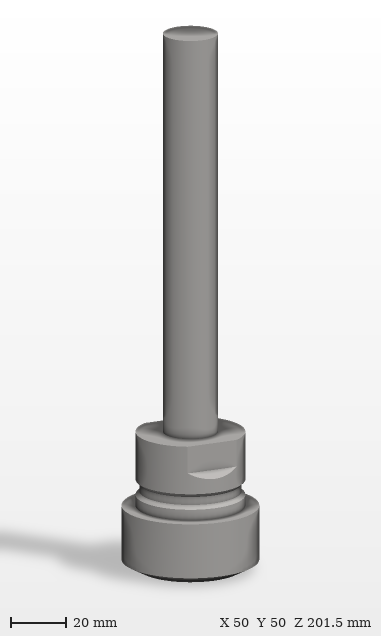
import cadquery as cq

total_height = 201.5
rod_diameter = 20.0

head_diameter = 50.0
head_top = 23.5
head_bevel_height = 3.2
head_bevel_width = 6.0

collar_diameter = 39.9
collar_top = 51.4

groove_bottom = 27.6
groove_top = 33.5
groove_depth = 1.5

flats_width = 34.7
flats_height = 10.0

rod_radius = rod_diameter / 2
head_radius = head_diameter / 2
collar_radius = collar_diameter / 2
groove_radius = collar_radius - groove_depth


def turned_body():
    """Revolve the stepped half profile, given as radius and height."""
    profile = [
        (0, 0),
        (head_radius - head_bevel_width, 0),
        (head_radius, head_bevel_height),
        (head_radius, head_top),
        (collar_radius, head_top),
        (collar_radius, groove_bottom),
        (groove_radius, groove_bottom + groove_depth),
        (groove_radius, groove_top - groove_depth),
        (collar_radius, groove_top),
        (collar_radius, collar_top),
        (rod_radius, collar_top),
        (rod_radius, total_height),
        (0, total_height),
    ]
    return cq.Workplane("XZ").polyline(profile).close().revolve(360, (0, 0), (0, 1))


def flat_cutter(side):
    """Material removed for one flat; side is -1 or +1 along X."""
    inner = flats_width / 2
    outer = head_radius
    flat_bottom = collar_top - flats_height
    section = [
        (side * inner, collar_top),
        (side * inner, flat_bottom),
        (side * outer, flat_bottom - (outer - inner)),
        (side * outer, collar_top),
    ]
    return cq.Workplane("XZ").polyline(section).close().extrude(head_radius, both=True)


result = turned_body()
for side in (-1, 1):
    result = result.cut(flat_cutter(side))